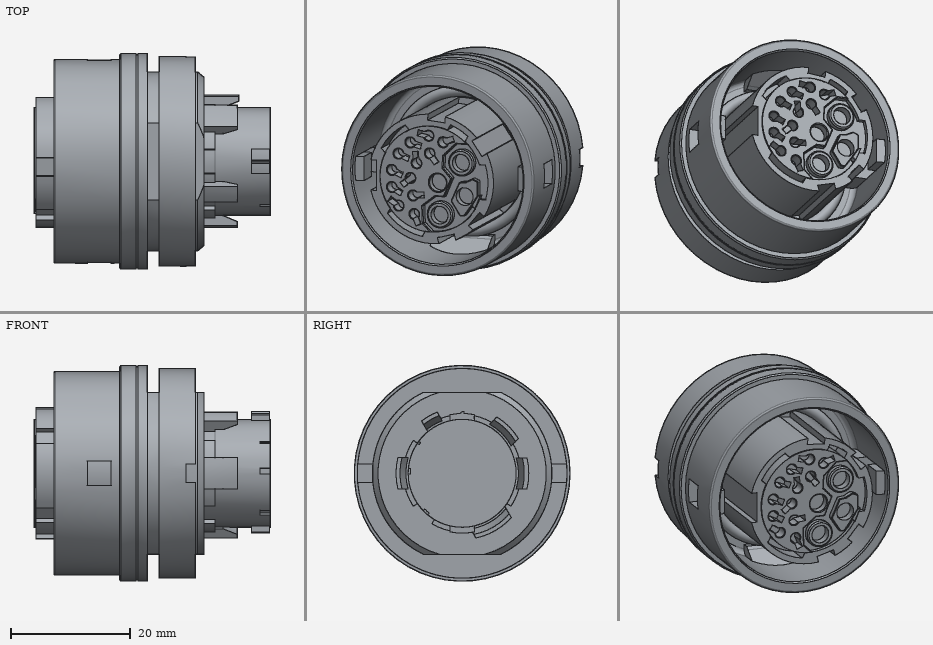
import cadquery as cq
import math


length = 39.4
sleeve_front = 0.28
shell_front = 3.3
flange_front = 14.25
flange_rear = 18.87
cavity_floor = 17.73
nut_front = 20.85
nut_rear = 26.9
collar_taper_start = 27.25
collar_rear = 28.35
lug_front = 36.2
lug_rear = 39.3

overlap = 0.4

core_radius = 18.0 / 2
sleeve_radius = 22.0 / 2
cavity_radius = 30.2 / 2
shell_radius = 34.0 / 2
nut_radius = 35.0 / 2
flange_radius = 36.0 / 2
neck_radius = 14.97
collar_end_radius = 14.03
shell_edge_round = 0.28
flange_edge_chamfer = 0.25
mouth_chamfer = 0.25
floor_corner_round = 0.95

groove_start = 17.02
groove_width = 0.28
groove_depth = 0.2
flat_half_height = 13.5

seal_outer_radius = 12.85
seal_overlap = 0.05
seal_section = (seal_outer_radius - sleeve_radius + seal_overlap) / 2
seal_front = cavity_floor - 2 * seal_section

window_start = 8.85
window_end = 12.85
window_width = 4.1
rail_front = 4.8
rail_slant = 0.3
rail_inner = 13.6
stop_inner = 12.95
ramp_knee = 12.8
ramp_inner = 12.37
ramp_run = 3.15
ramp_lip_run = 0.6
ramp_width = 10.15
guide_embed = 0.6

nut_slot_width = 3.07
nut_slot_length = 1.58

keyway_angles = (95, 145, 220, 255)
keyway_width = 3.07
keyway_floor = 9.85
wide_keyway_angle = 0
wide_keyway_width = 5.15
wide_keyway_floor = 9.7

pocket_radius = 10.0
pocket_depth = 3.95
pockets = ((45, 5.95), (120, 3.55), (300, 7.1))
tongue_angle = 180
tongue_width = 5.9

signal_keyholes = (
    (0.4, 7.35, 11), (3.62, 6.03, 196), (-2.15, 6.42, 161), (5.7, 3.98, 202),
    (2.52, 2.55, 84), (0.2, 4.37, 233), (6.9, 1.15, 203), (3.6, 0.0, 320),
    (6.9, -1.77, 208), (3.15, -2.95, 174), (5.67, -4.85, 33), (2.9, -6.1, 247),
)
keyhole_radius = 0.83
keyhole_chamfer = 0.1
keyhole_slot_length = 1.97
keyhole_slot_width = 1.02
keyhole_depth = 2.35

power_hole_diameter = 3.0
power_hole_depth = 1.58
collared_contacts = ((-5.3, 3.07), (-1.55, -6.0))
centre_contact = (-1.22, -0.5)
island_contact = (-6.0, -2.55)
contact_collar_radius = 2.25
contact_collar_top_radius = 4.0 / 2
centre_chamfer = 0.15
recess_depth = 1.1
recess_border = (
    (-7.1, 6.25), (-4.5, 6.25), (-2.25, 4.1), (-2.13, 2.05), (-3.7, 0.35),
    (-2.35, -2.88), (-0.8, -2.88), (1.45, -4.65), (1.35, -7.55), (-0.65, -9.45),
)
recess_rim_chamfer = 0.15
island_outline = (
    (-5.0, -0.25), (-6.1, -0.1), (-7.35, 0.5), (-8.3, 0.1), (-8.3, -2.35),
    (-7.25, -4.0), (-5.9, -5.9), (-5.12, -5.9), (-3.55, -3.45),
)
island_tab = ((-8.3, -2.35), (-8.7, -2.3), (-7.75, -4.55), (-7.25, -4.0))
island_corner_round = 0.3
island_edge_chamfer = 0.1

finger_end = 33.9
finger_radius = 11.05
fingers = (
    (180, 5.2, finger_radius, finger_end),
    (120, 3.0, finger_radius, finger_end),
    (45, 5.1, finger_radius, finger_end),
    (300, 6.8, finger_radius, finger_end),
    (0, 5.15, 11.1, 34.15),
)
finger_root_radius = 9.38
finger_tip_radius = 10.35
finger_taper_start = 31.52

seat_radius = 9.8
seat_end = 30.2
seat_spans = ((180, 34), (115, 12.8), (55, 23), (278.5, 39.5), (0, 34))

lug_radius = 9.95
lug_width = 4.1
ridge_height = 10.32
ridge_base_sink = 0.05
ridge_foot = -0.375
ridge_crest_start = 0.05
ridge_crest_end = 0.28
slit_length = 1.75
slit_depth = 0.4
slits = ((145, 0.4), (177.6, 0.95), (227, 1.02))


def cylinder(start, end, radius):
    return cq.Workplane("YZ", origin=(start, 0, 0)).circle(radius).extrude(end - start)


def cone(start, end, start_radius, end_radius):
    return (
        cq.Workplane("YZ", origin=(start, 0, 0)).circle(start_radius)
        .workplane(offset=end - start).circle(end_radius).loft()
    )


def tube(start, end, inner, outer):
    return cq.Workplane("YZ", origin=(start, 0, 0)).circle(outer).circle(inner).extrude(end - start)


def block(x_span, y_span, z_span):
    """Box between the given limits along each axis."""
    size = [high - low for low, high in (x_span, y_span, z_span)]
    corner = (x_span[0], y_span[0], z_span[0])
    return cq.Workplane("XY", origin=corner).box(*size, centered=False)


def about_axis(shape, angle):
    return shape.rotate((0, 0, 0), (1, 0, 0), angle)


def sector(start, end, inner, outer, centre, half_span):
    """Ring segment around the axis."""
    def point(radius, offset):
        angle = math.radians(centre + offset)
        return radius * math.cos(angle), radius * math.sin(angle)

    return (
        cq.Workplane("YZ", origin=(start, 0, 0))
        .moveTo(*point(inner, -half_span))
        .lineTo(*point(outer, -half_span))
        .threePointArc(point(outer, 0), point(outer, half_span))
        .lineTo(*point(inner, half_span))
        .threePointArc(point(inner, 0), point(inner, -half_span))
        .close()
        .extrude(end - start)
    )


def bar(start, end, inner, outer, angle, width):
    """Parallel-sided piece of a ring around the axis."""
    ring = tube(start, end, inner, outer)
    return ring.intersect(about_axis(block((start, end), (0, outer), (-width / 2, width / 2)), angle))


def make_shell():
    shell = cylinder(shell_front, flange_front, shell_radius)
    shell = shell.faces("<X").edges().fillet(shell_edge_round)
    flange = cylinder(flange_front, flange_rear, flange_radius)
    flange = flange.faces("<X").edges().chamfer(flange_edge_chamfer)
    groove = tube(
        groove_start, groove_start + groove_width, flange_radius - groove_depth, flange_radius + overlap
    )
    cavity = cylinder(shell_front, cavity_floor, cavity_radius)
    cavity = cavity.faces(">X").edges().fillet(floor_corner_round)
    mouth = cone(shell_front, shell_front + mouth_chamfer, cavity_radius + mouth_chamfer, cavity_radius)
    return shell.union(flange).cut(groove).cut(cavity).cut(mouth)


def make_neck_and_nut():
    neck = cylinder(cavity_floor, collar_taper_start, neck_radius)
    taper = cone(collar_taper_start, collar_rear, neck_radius, collar_end_radius)
    flats = block(
        (cavity_floor, collar_rear), (-neck_radius, neck_radius), (-flat_half_height, flat_half_height)
    )
    nut = tube(nut_front, nut_rear, flat_half_height - overlap, nut_radius)
    half_slot = nut_slot_width / 2
    for angle in (0, 180):
        slot = block(
            (nut_rear - nut_slot_length, nut_rear),
            (flat_half_height, nut_radius + overlap),
            (-half_slot, half_slot),
        )
        nut = nut.cut(about_axis(slot, angle))
    return neck.union(taper).intersect(flats).union(nut)


def make_guides():
    """Rails and stops beside the windows, ramps at the top and bottom of the shell."""
    outer = cavity_radius + guide_embed
    half_window = window_width / 2
    rail = (
        cq.Workplane("XY", origin=(0, 0, -half_window))
        .polyline([
            (rail_front, outer), (rail_front, cavity_radius), (rail_front + rail_slant, rail_inner),
            (window_start, rail_inner), (window_start, outer),
        ])
        .close().extrude(window_width)
    )
    stop = block((window_end, cavity_floor), (stop_inner, outer), (-half_window, half_window))
    knee_station = window_end + ramp_run
    ramp_start = window_end - guide_embed * ramp_run / (cavity_radius - ramp_knee)
    ramp = (
        cq.Workplane("XY", origin=(0, 0, -ramp_width / 2))
        .polyline([
            (ramp_start, outer), (knee_station, ramp_knee),
            (knee_station + ramp_lip_run, ramp_inner), (cavity_floor, ramp_inner), (cavity_floor, outer),
        ])
        .close().extrude(ramp_width)
    )
    side = rail.union(stop)
    guides = side.union(about_axis(side, 180))
    return guides.union(about_axis(ramp, 90)).union(about_axis(ramp, 270))


def make_windows():
    half = window_width / 2
    reach = shell_radius + overlap
    window = block((window_start, window_end), (stop_inner, reach), (-half, half))
    return window.union(about_axis(window, 180))


def make_sleeve():
    sleeve = cylinder(sleeve_front, cavity_floor, sleeve_radius)
    keyways = [(angle, keyway_width, keyway_floor) for angle in keyway_angles]
    keyways.append((wide_keyway_angle, wide_keyway_width, wide_keyway_floor))
    for angle, width, floor in keyways:
        keyway = block(
            (sleeve_front, seal_front), (floor, sleeve_radius + overlap), (-width / 2, width / 2)
        )
        sleeve = sleeve.cut(about_axis(keyway, angle))
    for angle, width in pockets:
        sleeve = sleeve.cut(
            bar(sleeve_front, sleeve_front + pocket_depth, core_radius, pocket_radius, angle, width)
        )
    tongue = bar(
        sleeve_front, recess_depth, core_radius - overlap, pocket_radius, tongue_angle, tongue_width
    )
    return sleeve.cut(tongue)


def make_seal():
    centre_radius = sleeve_radius - seal_overlap + seal_section
    centre_station = cavity_floor + seal_overlap - seal_section
    return (
        cq.Workplane("XY").center(centre_station, centre_radius).circle(seal_section)
        .revolve(360, (0, -centre_radius, 0), (1, -centre_radius, 0))
    )


def make_keyhole(y, z, direction):
    half_width = keyhole_slot_width / 2
    slot = block((0, keyhole_depth), (0, keyhole_slot_length), (-half_width, half_width))
    opening = cylinder(0, keyhole_depth, keyhole_radius).union(slot)
    opening = opening.union(
        cone(0, keyhole_chamfer, keyhole_radius + keyhole_chamfer, keyhole_radius)
    )
    return about_axis(opening, direction).translate((0, y, z))


def make_recess():
    """Sunken area around the power contacts, open to the tongue at -Y."""
    far = 2 * core_radius
    outline = recess_border + ((-far, -far), (-far, recess_border[0][1]))
    recess = cq.Workplane("YZ").polyline(outline).close().extrude(recess_depth)
    rim = (
        cq.Workplane("YZ").polyline(outline).close()
        .offset2D(recess_rim_chamfer, "intersection").extrude(recess_rim_chamfer, taper=45)
    )
    return recess.union(rim).intersect(cylinder(0, recess_depth, core_radius))


def make_island():
    island = (
        cq.Workplane("YZ").polyline(island_outline).close().extrude(recess_depth)
        .edges("|X").fillet(island_corner_round)
        .faces("<X").edges().chamfer(island_edge_chamfer)
    )
    return island.union(cq.Workplane("YZ").polyline(island_tab).close().extrude(recess_depth))


def make_core():
    core = cylinder(0, length, core_radius).cut(make_recess()).union(make_island())
    for point in collared_contacts:
        collar = (
            cq.Workplane("YZ").center(*point).circle(contact_collar_radius).extrude(recess_depth)
            .faces("<X").edges().chamfer(contact_collar_radius - contact_collar_top_radius)
        )
        core = core.union(collar)
    hole_radius = power_hole_diameter / 2
    for point in collared_contacts + (centre_contact, island_contact):
        core = core.cut(cylinder(0, power_hole_depth, hole_radius).translate((0, *point)))
    countersink = cone(0, centre_chamfer, hole_radius + centre_chamfer, hole_radius)
    core = core.cut(countersink.translate((0, *centre_contact)))
    for keyhole in signal_keyholes:
        core = core.cut(make_keyhole(*keyhole))
    return core


def make_finger(angle, width, outer_radius, end):
    """Finger whose inner side rises away from the core towards its tip."""
    finger = bar(collar_rear, end, core_radius - overlap, outer_radius, angle, width)
    clearance = (
        cq.Workplane("XY")
        .polyline([
            (seat_end, 0), (seat_end, finger_root_radius), (finger_taper_start, finger_root_radius),
            (end, finger_tip_radius), (end, 0),
        ])
        .close().revolve(360, (0, 0, 0), (1, 0, 0))
    )
    return finger.cut(clearance)


def make_rear_details():
    details = cylinder(collar_rear, seat_end, core_radius)
    for centre, half_span in seat_spans:
        details = details.union(
            sector(collar_rear, seat_end, core_radius - overlap, seat_radius, centre, half_span)
        )
    for finger in fingers:
        details = details.union(make_finger(*finger))
    half_lug = lug_width / 2
    lugs = cylinder(lug_front, lug_rear, lug_radius).intersect(
        block((lug_front, lug_rear), (-half_lug, half_lug), (-lug_radius, lug_radius))
    )
    ridge = (
        cq.Workplane("YZ", origin=(lug_front, 0, 0))
        .polyline([
            (ridge_foot, core_radius), (ridge_foot, lug_radius - ridge_base_sink),
            (ridge_crest_start, ridge_height),
            (ridge_crest_end, ridge_height), (ridge_crest_end, core_radius),
        ])
        .close().extrude(lug_rear - lug_front)
    )
    return details.union(lugs).union(ridge)


def make_slit(angle, width):
    slit = block(
        (length - slit_length, length),
        (core_radius - slit_depth, core_radius + overlap),
        (-width / 2, width / 2),
    )
    return about_axis(slit, angle)


body = make_shell().union(make_neck_and_nut()).union(make_guides()).cut(make_windows())
result = body.union(make_sleeve())
result = result.cut(cylinder(0, length, core_radius)).union(make_core())
result = result.union(make_seal()).union(make_rear_details())
for angle, width in slits:
    result = result.cut(make_slit(angle, width))